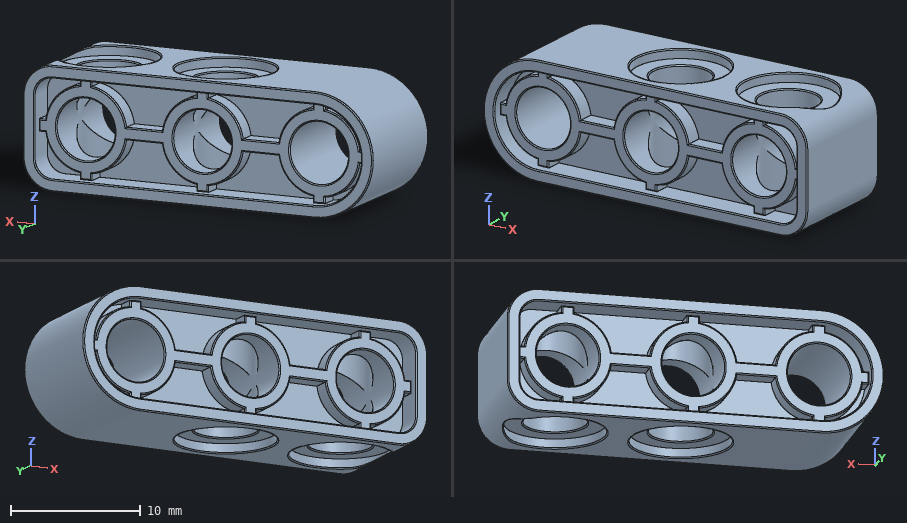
import cadquery as cq

PITCH = 10.0
HOLE_COUNT = 3
LENGTH = PITCH * HOLE_COUNT
WIDTH = 10.0
HEIGHT = 10.0
TOP_Z = HEIGHT / 2
NOSE_RADIUS = HEIGHT / 2
CORNER_RADIUS = 2.5
EDGE_BREAK = 0.1

WALL = 1.0
POCKET_DEPTH = 2.3

TUBE_DIAMETER = 7.0
RIB_THICKNESS = 1.0
RIB_RECESS = 0.8
RIB_WIDTH = WIDTH - 2 * RIB_RECESS

HOLE_DIAMETER = 5.0
COUNTERBORE_DIAMETER = 8.0
COUNTERBORE_DEPTH = 0.8

HOLE_XS = [PITCH * (i + 0.5) for i in range(HOLE_COUNT)]
VERTICAL_HOLE_XS = HOLE_XS[1:]


def beam_prism(inset, width):
    """Beam outline shrunk by inset, extruded along Y and centred on Y = 0."""
    half_height = HEIGHT / 2 - inset
    end_x = LENGTH - inset
    return (
        cq.Workplane("XZ")
        .moveTo(NOSE_RADIUS, -half_height)
        .lineTo(end_x, -half_height)
        .lineTo(end_x, half_height)
        .lineTo(NOSE_RADIUS, half_height)
        .threePointArc((inset, 0), (NOSE_RADIUS, -half_height))
        .close()
        .extrude(width / 2, both=True)
        .edges("|Y and >X")
        .fillet(CORNER_RADIUS - inset)
    )


def side_cylinders(diameter, width):
    """Cylinders along Y at every hole position."""
    centres = [(x, 0) for x in HOLE_XS]
    return cq.Workplane("XZ").pushPoints(centres).circle(diameter / 2).extrude(width / 2, both=True)


def frame():
    """Outer wall open on both Y sides, with chamfered rims."""
    wall = beam_prism(0, WIDTH).cut(beam_prism(WALL, WIDTH))
    return wall.faces("<Y or >Y").edges().chamfer(EDGE_BREAK)


def core():
    """Middle web with the tubes and ribs that rise from it, filling the inside of the frame."""
    rib_span = LENGTH - 2 * WALL
    ribs = cq.Workplane("XY", origin=(LENGTH / 2, 0, 0)).box(rib_span, RIB_WIDTH, RIB_THICKNESS)
    for x in HOLE_XS:
        upright = cq.Workplane("XY", origin=(x, 0, 0)).box(RIB_THICKNESS, RIB_WIDTH, HEIGHT - 2 * WALL)
        ribs = ribs.union(upright)
    ribs = ribs.union(side_cylinders(TUBE_DIAMETER, RIB_WIDTH))
    ribs = ribs.intersect(beam_prism(WALL, WIDTH))
    ribs = ribs.cut(side_cylinders(HOLE_DIAMETER, WIDTH))
    ribs = ribs.faces("<Y or >Y").edges().chamfer(EDGE_BREAK)
    web = beam_prism(WALL, WIDTH - 2 * POCKET_DEPTH).cut(side_cylinders(HOLE_DIAMETER, WIDTH))
    return ribs.union(web)


def counterbored_hole(x):
    """Cutter for a vertical through hole with a counterbore and a softened inner rim at both ends."""
    hole_radius = HOLE_DIAMETER / 2
    bore_radius = COUNTERBORE_DIAMETER / 2
    floor_z = TOP_Z - COUNTERBORE_DEPTH
    half_profile = (
        cq.Workplane("XZ")
        .moveTo(0, 0)
        .lineTo(hole_radius, 0)
        .lineTo(hole_radius, floor_z - EDGE_BREAK)
        .lineTo(hole_radius + EDGE_BREAK, floor_z)
        .lineTo(bore_radius, floor_z)
        .lineTo(bore_radius, TOP_Z)
        .lineTo(0, TOP_Z)
        .close()
    )
    upper = half_profile.revolve(360, (0, 0), (0, 1))
    return upper.union(upper.mirror("XY")).translate((x, 0, 0))


def soften_counterbore_rims(body, x):
    """Chamfer the outer rims at both ends of one vertical hole; the rim may dip into the rounded corner."""
    reach = COUNTERBORE_DIAMETER / 2
    rim_floor_z = TOP_Z - COUNTERBORE_DEPTH / 2
    for side in (1, -1):
        rim = cq.selectors.BoxSelector(
            (x - reach, -reach, side * rim_floor_z),
            (x + reach, reach, side * HEIGHT),
        )
        body = body.edges(rim).chamfer(EDGE_BREAK)
    return body


result = frame().union(core())
for hole_x in VERTICAL_HOLE_XS:
    result = result.cut(counterbored_hole(hole_x))
    result = soften_counterbore_rims(result, hole_x)